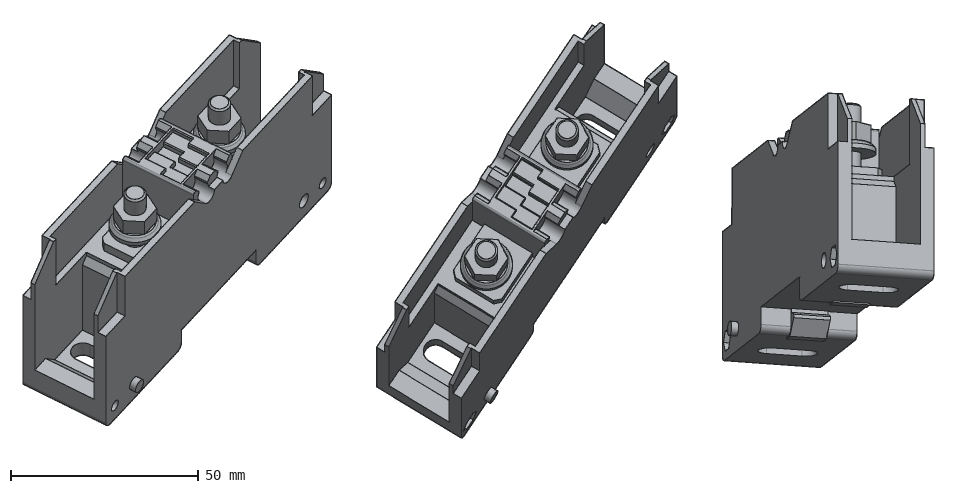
import cadquery as cq
import math


LENGTH = 107.2
WIDTH = 26.8
HEIGHT = 51.1
BOTTOM_FILLET = 2.0
END_CHAMFER = 8.9

RAIL_NOTCH_WIDTH = 35.4
RAIL_NOTCH_HEIGHT = 6.9
HOOK_WIDTH = 10.2
HOOK_DROP = 0.4
HOOK_NECK_Y = 17.0
HOOK_NECK_Z = 5.6
HOOK_SHOULDER_Y = 16.2
HOOK_TIP_Y = 15.0
HOOK_TIP_TOP_Z = 4.8
HOOK_TIP_BOTTOM_Z = 3.9
HOOK_FOOT_INNER_Y = 18.5
HOOK_FOOT_OUTER_Y = 21.5

RELIEF_LENGTH = 9.1
RELIEF_DEPTH = 2.6
RELIEF_FLOOR_Z = 35.8

BAY_WIDTH = 19.1
BAY_INNER_Y = 31.0
SILL_Z = 9.1
SILL_INNER_Y = 48.5
SILL_DROP = 4.3
BAY_FLOOR_Z = SILL_Z - SILL_DROP
SLOT_Y = 37.5
SLOT_LENGTH = 16.4
SLOT_WIDTH = 6.5

POCKET_WIDTH = 22.8
POCKET_OUTER_Y = 43.5
BARRIER_Y = 9.1
BARRIER_FILLET = 0.5
TERMINAL_Z = 33.3
DECK_EDGE_CHAMFER = 1.9
DECK_EDGE_LIP = 1.3

STUD_Y = 20.0
STUD_DIAMETER = 6.0
STUD_TOP_Z = 54.4
STUD_CHAMFER = 0.5
PAD_WIDTH = 15.2
PAD_OUTER_Y = 25.9
PAD_HEIGHT = 2.9
PAD_CHAMFER = 1.6
WASHER_DIAMETER = 13.9
WASHER_Z = 41.1
WASHER_HEIGHT = 2.6
WASHER_RIM_HEIGHT = 1.3
WASHER_SHOULDER_DIAMETER = 12.4
WASHER_SHOULDER_HEIGHT = 2.1
WASHER_TOP_DIAMETER = 11.4
NUT_FLATS = 10.1
NUT_HEIGHT = 4.9
NUT_TURN = 30

CORE_WIDTH = 14.4
GROOVE_Y = 4.5
GROOVE_Z = 47.7
GROOVE_RADIUS = 2.5
NECK_HALF_WIDTH = 2.0
FLARE = 1.4

LABEL_ROW_WIDTH = 6.5
LABEL_PITCH = 4.5
LABEL_LEFT_START_Y = 7.8
LABEL_RIGHT_START_Y = 5.5
LABEL_SEAT_DEPTH = 1.4
LABEL_MIDDLE_DEPTH = 3.1
LABEL_BEVEL = 0.3

BOLT_Y = 49.3
BOLT_Z = 5.1
BOLT_HOLE_DIAMETER = 3.2
HEX_FLATS = 5.5
HEX_DEPTH = 5.0
PEG_Y = 40.4
PEG_Z = 6.1
PEG_DIAMETER = 3.9
PEG_LENGTH = 1.9
SOCKET_DIAMETER = 4.2
SOCKET_DEPTH = 2.1

ENDS = (1, -1)
SIDES = (1, -1)
HALF_LENGTH = LENGTH / 2
HALF_WIDTH = WIDTH / 2


def box(x_range, y_range, z_range):
    """Box between two limits on each axis; the limits may come in either order."""
    low = [min(r) for r in (x_range, y_range, z_range)]
    size = [abs(r[1] - r[0]) for r in (x_range, y_range, z_range)]
    return cq.Workplane("XY").box(*size, centered=False).translate(tuple(low))


def centred_box(width, y_range, z_range):
    """Box centred across the width."""
    return box((-width / 2, width / 2), y_range, z_range)


def extrude_profile(profile, width):
    """Extrude a YZ profile equally to both sides of the middle plane."""
    return profile.extrude(width / 2, both=True)


def yz_polygon(points, width):
    """Prism from YZ points, centred across the width."""
    return extrude_profile(cq.Workplane("YZ").polyline(points).close(), width)


def side_cylinder(x, y, z, diameter, length):
    """Cylinder along +X (or -X for a negative length) from a point."""
    return cq.Workplane("YZ", origin=(x, y, z)).circle(diameter / 2).extrude(length)


def hexagon_diameter(flats):
    """Diameter across the corners of a hexagon, from its width across flats."""
    return flats / math.cos(math.pi / 6)


def make_housing():
    """Block with sloped upper ends, rail notch and rounded lower edges."""
    body = centred_box(WIDTH, (-HALF_LENGTH, HALF_LENGTH), (0, HEIGHT))
    body = body.edges("|X and >Z").chamfer(END_CHAMFER)
    half_notch = RAIL_NOTCH_WIDTH / 2
    body = body.cut(centred_box(WIDTH, (-half_notch, half_notch), (0, RAIL_NOTCH_HEIGHT)))
    return body.edges("|X and <Z").fillet(BOTTOM_FILLET)


def corner_relief(side, end):
    """Shallow step in the outside of one upper corner."""
    return box(
        (side * (HALF_WIDTH - RELIEF_DEPTH), side * HALF_WIDTH),
        (end * (HALF_LENGTH - RELIEF_LENGTH), end * HALF_LENGTH),
        (RELIEF_FLOOR_Z, HEIGHT),
    )


def end_bay(end):
    """Bay open to one end and upward, plus the mounting slot through its floor."""
    deck_edge_y = BAY_INNER_Y - DECK_EDGE_CHAMFER
    chamfer_top_z = TERMINAL_Z - DECK_EDGE_LIP
    outline = [
        (HALF_LENGTH, SILL_Z),
        (SILL_INNER_Y, SILL_Z),
        (SILL_INNER_Y - SILL_DROP, BAY_FLOOR_Z),
        (BAY_INNER_Y, BAY_FLOOR_Z),
        (BAY_INNER_Y, chamfer_top_z - DECK_EDGE_CHAMFER),
        (deck_edge_y, chamfer_top_z),
        (deck_edge_y, HEIGHT),
        (HALF_LENGTH, HEIGHT),
    ]
    bay = yz_polygon([(end * y, z) for y, z in outline], BAY_WIDTH)
    slot = cq.Workplane("XY").center(0, end * SLOT_Y).slot2D(SLOT_LENGTH, SLOT_WIDTH)
    slot = slot.extrude(BAY_FLOOR_Z)
    return bay.union(slot)


def terminal_pocket(end):
    """Pocket over one terminal; its inner wall rounds over at the top."""
    rounding_centre_y = BARRIER_Y - BARRIER_FILLET
    rounding_centre_z = HEIGHT - BARRIER_FILLET
    arc_offset = BARRIER_FILLET / math.sqrt(2)
    profile = (
        cq.Workplane("YZ")
        .moveTo(end * POCKET_OUTER_Y, TERMINAL_Z)
        .lineTo(end * BARRIER_Y, TERMINAL_Z)
        .lineTo(end * BARRIER_Y, rounding_centre_z)
        .threePointArc(
            (end * (rounding_centre_y + arc_offset), rounding_centre_z + arc_offset),
            (end * rounding_centre_y, HEIGHT),
        )
        .lineTo(end * POCKET_OUTER_Y, HEIGHT)
        .close()
    )
    return extrude_profile(profile, POCKET_WIDTH)


def wire_groove(end):
    """Snap groove on one side of the middle: round bottom, narrow neck and flared mouth."""
    neck_start_z = GROOVE_Z + math.sqrt(GROOVE_RADIUS**2 - NECK_HALF_WIDTH**2)
    mouth_half_width = NECK_HALF_WIDTH + FLARE
    profile = (
        cq.Workplane("YZ", origin=(0, end * GROOVE_Y, 0))
        .moveTo(-NECK_HALF_WIDTH, neck_start_z)
        .threePointArc((0, GROOVE_Z - GROOVE_RADIUS), (NECK_HALF_WIDTH, neck_start_z))
        .lineTo(NECK_HALF_WIDTH, HEIGHT - FLARE)
        .lineTo(mouth_half_width, HEIGHT)
        .lineTo(-mouth_half_width, HEIGHT)
        .lineTo(-NECK_HALF_WIDTH, HEIGHT - FLARE)
        .close()
    )
    return extrude_profile(profile, WIDTH)


def outer_wall_vee():
    """Flat-bottomed vee whose 45 degree flanks run tangent into the wire grooves."""
    tangent_offset = GROOVE_RADIUS / math.sqrt(2)
    tangent_y = GROOVE_Y + tangent_offset
    tangent_z = GROOVE_Z - tangent_offset
    top_y = tangent_y + HEIGHT - tangent_z
    half = [(top_y, HEIGHT), (tangent_y, tangent_z), (GROOVE_Y, GROOVE_Z), (0, GROOVE_Z)]
    mirrored = [(-y, z) for y, z in reversed(half[:-1])]
    vee = yz_polygon(half + mirrored, WIDTH)
    return vee.cut(centred_box(POCKET_WIDTH, (-top_y, top_y), (0, HEIGHT)))


def wire_guides():
    """Everything removed beside the solid core of the centre block."""
    cutter = outer_wall_vee()
    for end in ENDS:
        cutter = cutter.union(wire_groove(end))
    return cutter.cut(centred_box(CORE_WIDTH, (-HALF_LENGTH, HALF_LENGTH), (0, HEIGHT)))


def label_recess(side, start_y):
    """Row of three label seats, the middle one deeper, with every upper step edge bevelled."""
    seat_z = HEIGHT - LABEL_SEAT_DEPTH
    middle_z = HEIGHT - LABEL_MIDDLE_DEPTH
    middle_half_length = LABEL_PITCH / 2
    row_half_length = middle_half_length + LABEL_PITCH
    half = [
        (middle_half_length - LABEL_BEVEL, middle_z),
        (middle_half_length - LABEL_BEVEL, seat_z - LABEL_BEVEL),
        (middle_half_length, seat_z),
        (row_half_length - LABEL_BEVEL, seat_z),
        (row_half_length - LABEL_BEVEL, HEIGHT - LABEL_BEVEL),
        (row_half_length, HEIGHT),
    ]
    outline = half + [(-y, z) for y, z in reversed(half)]
    row_centre_y = start_y - row_half_length
    profile = cq.Workplane("YZ", origin=(0, row_centre_y, 0)).polyline(outline).close()
    return profile.extrude(side * LABEL_ROW_WIDTH)


def terminal(end):
    """Contact pad with a stud, washer and nut."""
    pad_top_z = TERMINAL_Z + PAD_HEIGHT
    pad = centred_box(PAD_WIDTH, (end * BARRIER_Y, end * PAD_OUTER_Y), (TERMINAL_Z, pad_top_z))
    pad = pad.edges("|Z").edges(">Y" if end > 0 else "<Y").chamfer(PAD_CHAMFER)

    def at_height(z):
        return cq.Workplane("XY", origin=(0, end * STUD_Y, z))

    stud = at_height(TERMINAL_Z).circle(STUD_DIAMETER / 2).extrude(STUD_TOP_Z - TERMINAL_Z)
    stud = stud.faces(">Z").chamfer(STUD_CHAMFER)
    washer_outline = [
        (0, 0),
        (WASHER_DIAMETER / 2, 0),
        (WASHER_DIAMETER / 2, WASHER_RIM_HEIGHT),
        (WASHER_SHOULDER_DIAMETER / 2, WASHER_SHOULDER_HEIGHT),
        (WASHER_TOP_DIAMETER / 2, WASHER_HEIGHT),
        (0, WASHER_HEIGHT),
    ]
    washer = cq.Workplane("XZ").polyline(washer_outline).close().revolve(360, (0, 0), (0, 1))
    washer = washer.translate((0, end * STUD_Y, WASHER_Z))
    nut = at_height(WASHER_Z + WASHER_HEIGHT).polygon(6, hexagon_diameter(NUT_FLATS)).extrude(NUT_HEIGHT)
    nut = nut.rotate((0, end * STUD_Y, 0), (0, end * STUD_Y, 1), NUT_TURN)
    return pad.union(stud).union(washer).union(nut)


def rail_hook(end):
    """Narrow tongue on the rail notch flank, with a blunt tip and a sloping lead-in below it."""
    outline = [
        (HOOK_NECK_Y, RAIL_NOTCH_HEIGHT),
        (HOOK_NECK_Y, HOOK_NECK_Z),
        (HOOK_SHOULDER_Y, HOOK_NECK_Z),
        (HOOK_TIP_Y, HOOK_TIP_TOP_Z),
        (HOOK_TIP_Y, HOOK_TIP_BOTTOM_Z),
        (HOOK_FOOT_INNER_Y, -HOOK_DROP),
        (HOOK_FOOT_OUTER_Y, -HOOK_DROP),
        (HOOK_FOOT_OUTER_Y, RAIL_NOTCH_HEIGHT),
    ]
    return yz_polygon([(end * y, z) for y, z in outline], HOOK_WIDTH)


def bolt_hole(end):
    """Cross hole with a hexagonal nut seat in the -X face."""
    hole = side_cylinder(-HALF_WIDTH, end * BOLT_Y, BOLT_Z, BOLT_HOLE_DIAMETER, WIDTH)
    seat = (
        cq.Workplane("YZ", origin=(-HALF_WIDTH, end * BOLT_Y, BOLT_Z))
        .polygon(6, hexagon_diameter(HEX_FLATS))
        .extrude(HEX_DEPTH)
    )
    return hole.union(seat)


result = make_housing()
for end in ENDS:
    result = result.cut(end_bay(end)).cut(terminal_pocket(end))
    for side in SIDES:
        result = result.cut(corner_relief(side, end))
result = result.cut(wire_guides())
result = result.cut(label_recess(-1, LABEL_LEFT_START_Y)).cut(label_recess(1, LABEL_RIGHT_START_Y))

for end in ENDS:
    result = result.union(terminal(end)).union(rail_hook(end)).cut(bolt_hole(end))
    face_x = -end * HALF_WIDTH
    result = result.union(side_cylinder(face_x, end * PEG_Y, PEG_Z, PEG_DIAMETER, -end * PEG_LENGTH))
    result = result.cut(side_cylinder(face_x, -end * PEG_Y, PEG_Z, SOCKET_DIAMETER, end * SOCKET_DEPTH))